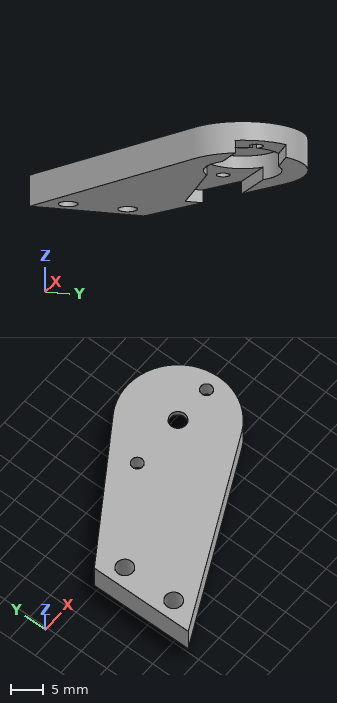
import cadquery as cq
import math

THICKNESS = 5.0
HEAD_RADIUS = 10.0
END_X = -28.97
END_TOP_Y = -6.69
END_BOTTOM_Y = -25.11

PIVOT_HOLE_DIAMETER = 3.0
HORN_SCREW_DIAMETER = 2.1
HORN_SCREW_X = (-10.0, 7.0)
MOUNT_HOLE_DIAMETER = 3.0
MOUNT_HOLE_X = END_X + 3.0
MOUNT_HOLE_Y = (-10.3, -19.85)

HUB_RADIUS = 6.0
HUB_DEPTH = 4.0
ARM_DEPTH = 2.0
ARM_HALF_WIDTH_AT_HUB = 4.85
ARM_HALF_WIDTH_AT_TIP = 3.2
ARM_LENGTH = 19.1


def tangent_point(x, y, side):
    """Point where the line from (x, y) touches the head circle; side is +1 or -1."""
    reach = math.hypot(x, y)
    angle = math.atan2(y, x) + side * math.acos(HEAD_RADIUS / reach)
    return (HEAD_RADIUS * math.cos(angle), HEAD_RADIUS * math.sin(angle))


def make_plate():
    upper_tangent = tangent_point(END_X, END_TOP_Y, -1)
    lower_tangent = tangent_point(END_X, END_BOTTOM_Y, 1)
    return (
        cq.Workplane("XY")
        .moveTo(END_X, END_BOTTOM_Y)
        .lineTo(*lower_tangent)
        .threePointArc((HEAD_RADIUS, 0), upper_tangent)
        .lineTo(END_X, END_TOP_Y)
        .close()
        .extrude(THICKNESS)
    )


def make_horn_recess():
    """Deep round hub pocket with two shallower arms that narrow towards their tips."""
    hub = cq.Workplane("XY").circle(HUB_RADIUS).extrude(HUB_DEPTH)
    arms = (
        cq.Workplane("XY")
        .polyline([
            (-ARM_LENGTH, -ARM_HALF_WIDTH_AT_TIP),
            (0, -ARM_HALF_WIDTH_AT_HUB),
            (ARM_LENGTH, -ARM_HALF_WIDTH_AT_TIP),
            (ARM_LENGTH, ARM_HALF_WIDTH_AT_TIP),
            (0, ARM_HALF_WIDTH_AT_HUB),
            (-ARM_LENGTH, ARM_HALF_WIDTH_AT_TIP),
        ])
        .close()
        .extrude(ARM_DEPTH)
    )
    return hub.union(arms)


def make_holes(diameter, centres):
    return cq.Workplane("XY").pushPoints(centres).circle(diameter / 2).extrude(THICKNESS)


pivot_hole = make_holes(PIVOT_HOLE_DIAMETER, [(0, 0)])
horn_screw_holes = make_holes(HORN_SCREW_DIAMETER, [(x, 0) for x in HORN_SCREW_X])
mount_holes = make_holes(MOUNT_HOLE_DIAMETER, [(MOUNT_HOLE_X, y) for y in MOUNT_HOLE_Y])

result = (
    make_plate()
    .cut(make_horn_recess())
    .cut(pivot_hole)
    .cut(horn_screw_holes)
    .cut(mount_holes)
)